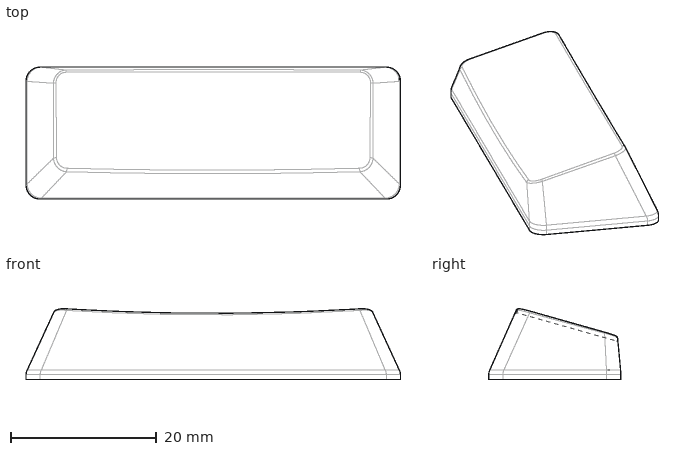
import cadquery as cq
import math

length = 51.5
width = 18.2
skirt_height = 0.65
blend_height = 0.65
corner_radius = 1.95

top_front_height = 9.95
top_tilt = 15.8
end_inset = 3.9
front_inset = 3.95
back_inset = 0.45
top_corner_radius = 1.85
top_edge_radius = 0.4

dish_depth = 0.75

end_blend_inset = 0.175
front_blend_inset = 0.15
back_blend_inset = 0.025

tilt = math.radians(top_tilt)
top_length = length - 2 * end_inset
top_width = width - front_inset - back_inset
top_depth = top_width / math.cos(tilt)

top_plane = cq.Plane(
    origin=(0, (front_inset - back_inset) / 2, top_front_height - top_width / 2 * math.tan(tilt)),
    xDir=(1, 0, 0),
    normal=(0, math.sin(tilt), math.cos(tilt)),
)


def rounded_wire(plane, size_x, size_y, radius):
    """Rounded rectangle centred on the given plane."""
    sharp = cq.Workplane(plane).rect(size_x, size_y).val()
    return sharp.fillet2D(radius, sharp.Vertices())


def blend_wire(fraction):
    """Section of the blend; the inset grows with the square of the height above the skirt."""
    growth = fraction**2
    center_y = growth * (front_blend_inset - back_blend_inset) / 2
    plane = cq.Plane(origin=(0, center_y, skirt_height + fraction * blend_height))
    size_x = length - 2 * growth * end_blend_inset
    size_y = width - growth * (front_blend_inset + back_blend_inset)
    return rounded_wire(plane, size_x, size_y, corner_radius)


def make_body():
    """Skirt, blend and leaning walls, closed by the flat tilted top."""
    foot_wire = rounded_wire(cq.Plane.XY(), length, width, corner_radius)
    top_wire = rounded_wire(top_plane, top_length, top_depth, top_corner_radius)
    skirt = cq.Solid.makeLoft([foot_wire, blend_wire(0)], True)
    blend = cq.Solid.makeLoft([blend_wire(0), blend_wire(0.5), blend_wire(1)])
    walls = cq.Solid.makeLoft([blend_wire(1), top_wire], True)
    return cq.Workplane(skirt).union(cq.Workplane(blend)).union(cq.Workplane(walls))


def make_dish():
    """Cylinder lying front to back along the tilted top, its arc spanning the top's length."""
    half_span = top_length / 2
    dish_radius = (half_span**2 + dish_depth**2) / (2 * dish_depth)
    dish_plane = cq.Plane(origin=top_plane.origin, xDir=(1, 0, 0), normal=-top_plane.yDir)
    cylinder = cq.Workplane(dish_plane).center(0, dish_radius - dish_depth).circle(dish_radius)
    return cylinder.extrude(width, both=True)


dished_body = make_body().cut(make_dish())
top_face = cq.selectors.NearestToPointSelector(top_plane.origin.toTuple())
result = dished_body.faces(top_face).edges().fillet(top_edge_radius)